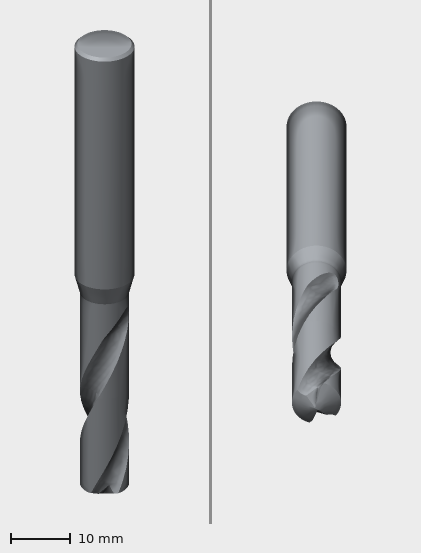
import cadquery as cq
import math

overall_length = 87.0
shank_diameter = 10.0
shank_chamfer = 0.5
drill_diameter = 8.2
point_angle = 128.0
joint_height = 20.7
neck_bottom = 39.0
neck_top = 42.4

flute_count = 2
helix_lead = 51.6
flute_floor_radius = 2.3
flute_edge_angle = 68.0
flute_phase = 93.0
flute_overrun = 1.0
helix_top = 32.1
runout_top = 35.8
runout_turn = 50.0
runout_extension = 1.5

gash_direction = 40.0
gash_rise = 51.5
gash_start_radius = 0.35
gash_start_direction = -7.0
gash_start_height = 0.25
gash_heel_wall = 195.0
gash_lip_wall = 285.0
gash_size = 4.0
gash_half_length = 6.0

drill_radius = drill_diameter / 2
shank_radius = shank_diameter / 2
point_height = drill_radius / math.tan(math.radians(point_angle / 2))
flute_half_width = drill_radius * math.sin(math.radians(flute_edge_angle / 2))
flute_depth = drill_radius * math.cos(math.radians(flute_edge_angle / 2)) - flute_floor_radius
groove_radius = (flute_half_width**2 + flute_depth**2) / (2 * flute_depth)
groove_offset = flute_floor_radius + groove_radius


def polar(radius, angle):
    return (radius * math.cos(math.radians(angle)), radius * math.sin(math.radians(angle)))


def point_at(radius, angle, height):
    return cq.Vector(*polar(radius, angle), height)


def helix_turn(rise):
    return 360 * rise / helix_lead


def groove_section(angle, height):
    return cq.Workplane("XY", origin=(0, 0, height)).moveTo(*polar(groove_offset, angle)).circle(groove_radius)


def helical_groove(angle):
    start_angle = angle - helix_turn(flute_overrun)
    rise = helix_top + flute_overrun
    return groove_section(start_angle, -flute_overrun).twistExtrude(rise, helix_turn(rise))


def runout(angle):
    start_angle = angle + helix_turn(helix_top)
    start = point_at(flute_floor_radius, start_angle, helix_top)
    exit_point = point_at(drill_radius, start_angle + runout_turn, runout_top)
    section = groove_section(start_angle, helix_top).val()
    return cq.Solid.extrudeLinear(section, [], (exit_point - start) * runout_extension)


def gash(angle):
    heading = angle + gash_direction
    start = point_at(gash_start_radius, angle + gash_start_direction, gash_start_height)
    along = cq.Vector(*polar(math.cos(math.radians(gash_rise)), heading), math.sin(math.radians(gash_rise)))
    across = point_at(1, heading + 90, 0)
    return (
        cq.Workplane(cq.Plane(start, across, along))
        .polyline([(0, 0), polar(gash_size, gash_heel_wall), polar(gash_size, gash_lip_wall)])
        .close()
        .extrude(gash_half_length, both=True)
    )


def turned_blank():
    half_outline = [
        (0, 0),
        (drill_radius, point_height),
        (drill_radius, neck_bottom),
        (shank_radius, neck_top),
        (shank_radius, overall_length - shank_chamfer),
        (shank_radius - shank_chamfer, overall_length),
        (0, overall_length),
    ]
    return cq.Workplane("XZ").polyline(half_outline).close().revolve(360, (0, 0), (0, 1))


drill = turned_blank()
for index in range(flute_count):
    flute_angle = flute_phase + index * 360 / flute_count
    drill = drill.cut(helical_groove(flute_angle))
    drill = drill.cut(cq.Workplane(runout(flute_angle)))
    drill = drill.cut(gash(flute_angle))

tip_zone = cq.Workplane("XY").circle(shank_diameter).extrude(joint_height)
tip = drill.intersect(tip_zone)
shank = drill.cut(tip_zone)

result = cq.Compound.makeCompound([tip.solids().val(), shank.solids().val()])